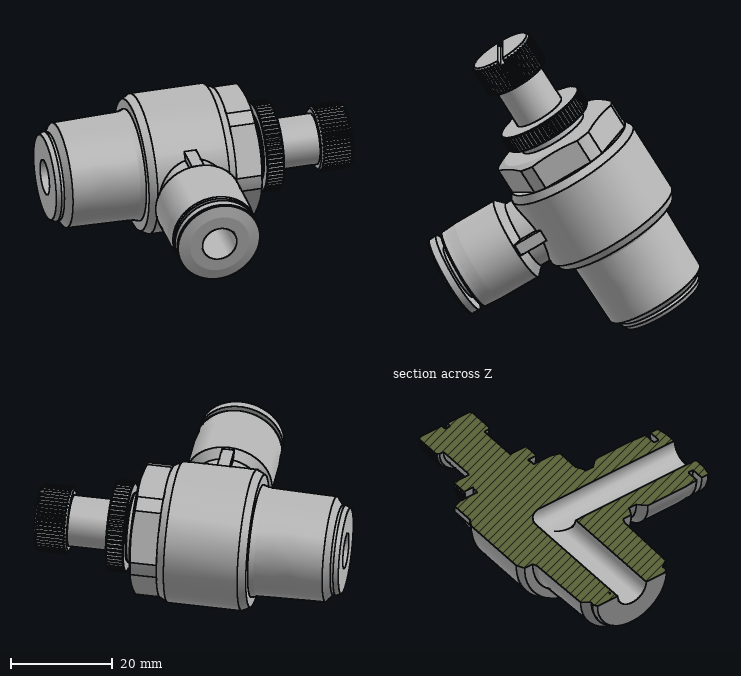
import cadquery as cq
import math


total_length = 61.3

nose_face_radius = 8.5
nose_radius = 9.0
nose_edge_y = 1.0
nose_neck_radius = 8.8
nose_neck_y = 1.6
thread_start_y = 2.9
thread_start_radius = 10.5
thread_end_y = 16.55
thread_end_radius = 10.8
shoulder_radius = 11.15

body_start_y = 17.65
body_end_y = 35.55
body_radius = 14.01
body_bevel_length = 1.6
body_bevel_depth = 0.85

hex_end_y = 41.3
hex_flat_distance = 11.985
hex_corner_radius = 13.05
hex_top_radius = 11.15
hex_bevel_length = 0.6

collar_radius = 7.0
collar_end_y = 42.6
collar_top_radius = 6.75

nut_start_y = 42.9
nut_end_y = 46.45
nut_radius = 9.0
nut_bevel = 0.25
nut_teeth = 60

stem_radius = 5.1
head_start_y = 54.75
head_radius = 6.6
head_bevel = 0.55
head_teeth = 50

knurl_depth = 0.25
knurl_crest_width = 0.2

slot_width = 1.15
slot_depth = 1.1

port_y = 26.55
port_neck_radius = 7.05
port_neck_end_x = 15.75
port_radius = 8.7
port_cone_end_x = 17.4
port_taper_start_x = 26.25
port_taper_end_x = 28.5
port_tip_radius = 8.5
port_tip_end_x = 29.4
port_face_x = 29.7
port_face_radius = 8.3
sleeve_radius = 5.65
ring_start_x = 30.85
ring_radius = 8.45
ring_edge_x = 32.35
ring_bevel_x = 32.75
ring_bevel_radius = 8.35
ring_end_x = 33.195
ring_face_radius = 6.0

rib_width = 2.45
rib_height = 8.43
rib_end_x = port_cone_end_x - (port_radius - rib_height)

bore_radius = 3.5


def turned_about_y(outline):
    """Solid of revolution about Y from (radius, y) points; the axis closes the outline."""
    start = (0, outline[0][1])
    end = (0, outline[-1][1])
    profile = cq.Workplane("XY").polyline([start] + outline + [end]).close()
    return profile.revolve(360, (0, 0, 0), (0, 1, 0))


def turned_about_port(outline):
    """Solid of revolution about the port axis from (x, radius) points."""
    start = (outline[0][0], 0)
    end = (outline[-1][0], 0)
    profile = cq.Workplane("XY").polyline([start] + outline + [end]).close()
    turned = profile.revolve(360, (0, 0, 0), (1, 0, 0))
    return turned.translate((0, port_y, 0))


def prism_along_y(points, start_y, end_y):
    """Extrude an outline of (x, z) points from start_y to end_y."""
    plane = cq.Workplane("XZ", origin=(0, start_y, 0))
    return plane.polyline(points).close().extrude(start_y - end_y)


def polar(radius, angle):
    return (radius * math.cos(angle), radius * math.sin(angle))


def bevelled_disc(radius, start_y, end_y, bevel):
    return turned_about_y([
        (radius - bevel, start_y),
        (radius, start_y + bevel),
        (radius, end_y - bevel),
        (radius - bevel, end_y),
    ])


def knurled_disc(radius, start_y, end_y, bevel, teeth):
    """Bevelled disc with straight V-grooves around its rim."""
    pitch = 2 * math.pi / teeth
    half_crest = knurl_crest_width / 2 / radius
    points = []
    for tooth in range(teeth):
        crest_angle = tooth * pitch
        points.append(polar(radius, crest_angle - half_crest))
        points.append(polar(radius, crest_angle + half_crest))
        points.append(polar(radius - knurl_depth, crest_angle + pitch / 2))
    toothed = prism_along_y(points, start_y, end_y)
    return toothed.intersect(bevelled_disc(radius, start_y, end_y, bevel))


def make_body():
    """Threaded nose, taper thread and main barrel."""
    rim_radius = body_radius - body_bevel_depth
    return turned_about_y([
        (nose_face_radius, 0),
        (nose_radius, nose_edge_y),
        (nose_neck_radius, nose_neck_y),
        (thread_start_radius, thread_start_y),
        (thread_end_radius, thread_end_y),
        (shoulder_radius, body_start_y),
        (rim_radius, body_start_y),
        (body_radius, body_start_y + body_bevel_length),
        (body_radius, body_end_y - body_bevel_length),
        (rim_radius, body_end_y),
    ])


def make_hexagon():
    """Hexagon with turned corners and a bevelled top; two flats face +Z and -Z."""
    point_radius = hex_flat_distance / math.cos(math.pi / 6)
    corners = [polar(point_radius, side * math.pi / 3) for side in range(6)]
    envelope = turned_about_y([
        (hex_corner_radius, body_end_y),
        (hex_corner_radius, hex_end_y - hex_bevel_length),
        (hex_top_radius, hex_end_y),
    ])
    return prism_along_y(corners, body_end_y, hex_end_y).intersect(envelope)


def make_stem():
    """Collar under the lock nut and the plain adjusting stem up to the head."""
    return turned_about_y([
        (collar_radius, hex_end_y),
        (collar_radius, collar_end_y),
        (collar_top_radius, nut_start_y),
        (stem_radius, nut_start_y),
        (stem_radius, head_start_y),
    ])


def make_head():
    """Knurled adjusting head with a screwdriver slot along Z."""
    head = knurled_disc(head_radius, head_start_y, total_length, head_bevel, head_teeth)
    slot = cq.Workplane("XY").box(slot_width, 2 * slot_depth, 2 * head_radius)
    return head.cut(slot.translate((0, total_length, 0)))


def make_port():
    """Port barrel, release sleeve and release ring."""
    return turned_about_port([
        (0, port_neck_radius),
        (port_neck_end_x, port_neck_radius),
        (port_cone_end_x, port_radius),
        (port_taper_start_x, port_radius),
        (port_taper_end_x, port_tip_radius),
        (port_tip_end_x, port_tip_radius),
        (port_face_x, port_face_radius),
        (port_face_x, sleeve_radius),
        (ring_start_x, sleeve_radius),
        (ring_start_x, ring_radius),
        (ring_edge_x, ring_radius),
        (ring_bevel_x, ring_bevel_radius),
        (ring_end_x, ring_face_radius),
    ])


def make_rib():
    """Web joining barrel and port, reaching the same height above and below."""
    rib = cq.Workplane("XY").box(rib_end_x, rib_width, 2 * rib_height)
    return rib.translate((rib_end_x / 2, port_y, 0))


def make_bore():
    """Flow passage: in along Y, round a spherical elbow, out along X."""
    inlet = turned_about_y([(bore_radius, 0), (bore_radius, port_y)])
    outlet = turned_about_port([(0, bore_radius), (ring_end_x, bore_radius)])
    half_disc = (
        cq.Workplane("XY")
        .moveTo(-bore_radius, 0)
        .threePointArc((0, bore_radius), (bore_radius, 0))
        .close()
    )
    elbow = half_disc.revolve(360, (0, 0, 0), (1, 0, 0)).translate((0, port_y, 0))
    return inlet.union(outlet).union(elbow)


lock_nut = knurled_disc(nut_radius, nut_start_y, nut_end_y, nut_bevel, nut_teeth)

result = make_body()
for piece in (make_port(), make_rib(), make_hexagon(), make_stem(), lock_nut, make_head()):
    result = result.union(piece)
result = result.cut(make_bore())